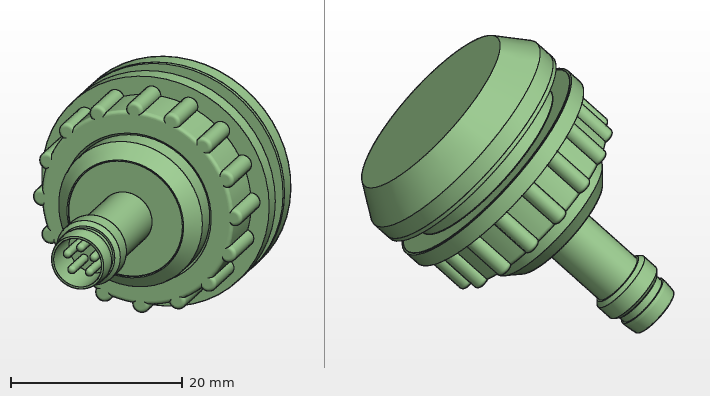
import cadquery as cq
import math


overall_length = 36.42

flange_radius = 14.25
flange_thickness = 0.5
panel_gap = 2.4
neck_radius = 11.15
nose_radius = 9.0
nose_chamfer = 1.7
nose_length = 14.3
socket_radius = 7.15
socket_depth = 3.0

cap_thickness = 6.1
cap_rim_height = 2.1
cap_top_radius = 11.65

gasket_radius = 14.0
gasket_thickness = 0.1

washer_thickness = 2.0
grip_radius = 12.0
grip_length = 6.0
grip_fillet = 0.45
nut_bore_chamfer = 0.3
rib_count = 16
rib_radius = 1.05
rib_circle_radius = 12.05
rib_start_angle = 91.8

plug_recess = 0.2
stem_radius = 3.27
collar_radius = 4.0
collar_chamfer = 0.5
collar_length = 3.0
tip_length = 3.0
groove_length = 1.0
barb_radius = 3.48
barb_land = 0.5
barb_bow = 0.03
plug_bore_radius = 3.0
plug_bore_depth = 5.0

pin_radius = 0.5
pin_seat_depth = 1.0
pin_tip_inset = 0.55
pin_circle_radius = 1.74
key_pin_radius = 1.53
pin_angles = [162, 231, 309, 18]
key_pin_angle = 90

cap_back_y = flange_thickness + cap_thickness
nut_back_y = -panel_gap - gasket_thickness
washer_front_y = nut_back_y - washer_thickness
grip_front_y = washer_front_y - grip_length
nose_front_y = -nose_length
socket_floor_y = nose_front_y + socket_depth
plug_face_y = nose_front_y + plug_recess
tip_front_y = cap_back_y - overall_length
collar_front_y = tip_front_y + tip_length
collar_back_y = collar_front_y + collar_length
barb_back_y = collar_front_y - groove_length
barb_land_end_y = barb_back_y - barb_land
plug_floor_y = tip_front_y + plug_bore_depth


def turned(profile):
    """Revolve a closed (y, radius) profile around the Y axis."""
    return profile.close().revolve(360, (0, 0, 0), (1, 0, 0))


def cylinder_along_y(radius, front_y, back_y, x=0, z=0):
    """Solid cylinder parallel to Y between two Y positions."""
    plane = cq.Workplane("XZ", origin=(x, back_y, z))
    return plane.circle(radius).extrude(back_y - front_y)


def polar(radius, angle):
    """X and Z of a point at an angle from +X in the XZ plane."""
    turn = math.radians(angle)
    return radius * math.cos(turn), radius * math.sin(turn)


pin_places = [polar(key_pin_radius, key_pin_angle)]
pin_places += [polar(pin_circle_radius, angle) for angle in pin_angles]


def make_cap():
    rim_back_y = flange_thickness + cap_rim_height
    profile = cq.Workplane("YZ").moveTo(flange_thickness, 0).lineTo(flange_thickness, flange_radius)
    profile = profile.lineTo(rim_back_y, flange_radius)
    profile = profile.lineTo(cap_back_y, cap_top_radius).lineTo(cap_back_y, 0)
    return turned(profile)


def make_housing():
    body = cylinder_along_y(flange_radius, 0, flange_thickness)
    body = body.union(cylinder_along_y(neck_radius, nut_back_y, 0))
    nose = cylinder_along_y(nose_radius, nose_front_y, nut_back_y).faces("<Y").chamfer(nose_chamfer)
    socket = cylinder_along_y(socket_radius, nose_front_y, socket_floor_y)
    return body.union(nose).cut(socket)


def make_gasket():
    ring = cylinder_along_y(gasket_radius, nut_back_y, -panel_gap)
    return ring.cut(cylinder_along_y(neck_radius, nut_back_y, -panel_gap))


def grip_cylinder(radius, x=0, z=0):
    """Cylinder as long as the grip, with its front rim rounded."""
    blank = cylinder_along_y(radius, grip_front_y, washer_front_y, x, z)
    return blank.faces("<Y").edges().fillet(grip_fillet)


def nut_bore():
    """Bore that clears the housing nose, with a chamfered mouth at the front."""
    profile = cq.Workplane("YZ").moveTo(grip_front_y, 0)
    profile = profile.lineTo(grip_front_y, nose_radius + nut_bore_chamfer)
    profile = profile.lineTo(grip_front_y + nut_bore_chamfer, nose_radius)
    profile = profile.lineTo(nut_back_y, nose_radius).lineTo(nut_back_y, 0)
    return turned(profile)


def make_nut():
    washer = cylinder_along_y(flange_radius, washer_front_y, nut_back_y)
    nut = washer.union(grip_cylinder(grip_radius)).cut(nut_bore())
    for index in range(rib_count):
        x, z = polar(rib_circle_radius, rib_start_angle + index * 360 / rib_count)
        nut = nut.union(grip_cylinder(rib_radius, x, z))
    return nut


def make_plug():
    base = cylinder_along_y(socket_radius, plug_face_y, socket_floor_y)
    stem = cylinder_along_y(stem_radius, barb_back_y, plug_face_y)
    collar = cylinder_along_y(collar_radius, collar_front_y, collar_back_y).edges().chamfer(collar_chamfer)
    barb_middle = ((barb_land_end_y + tip_front_y) / 2, (barb_radius + stem_radius) / 2 + barb_bow)
    barb = cq.Workplane("YZ").moveTo(barb_back_y, 0).lineTo(barb_back_y, barb_radius)
    barb = barb.lineTo(barb_land_end_y, barb_radius)
    barb = barb.threePointArc(barb_middle, (tip_front_y, stem_radius)).lineTo(tip_front_y, 0)
    plug = base.union(stem).union(collar).union(turned(barb))
    plug = plug.cut(cylinder_along_y(plug_bore_radius, tip_front_y, plug_floor_y))
    for x, z in pin_places:
        plug = plug.cut(cylinder_along_y(pin_radius, plug_floor_y, plug_floor_y + pin_seat_depth, x, z))
    return plug


def make_pin(x, z):
    front_y = tip_front_y + pin_tip_inset
    shank = cylinder_along_y(pin_radius, front_y + pin_radius, plug_floor_y + pin_seat_depth, x, z)
    tip = cq.Workplane("XY", origin=(x, front_y + pin_radius, z)).sphere(pin_radius)
    return shank.union(tip)


cap = make_cap()
housing = make_housing()
gasket = make_gasket()
nut = make_nut()
plug = make_plug()
pins = [make_pin(x, z) for x, z in pin_places]

result = cq.Compound.makeCompound(
    [cap.val(), housing.val(), gasket.val(), nut.val(), plug.val(), *[pin.val() for pin in pins]]
)